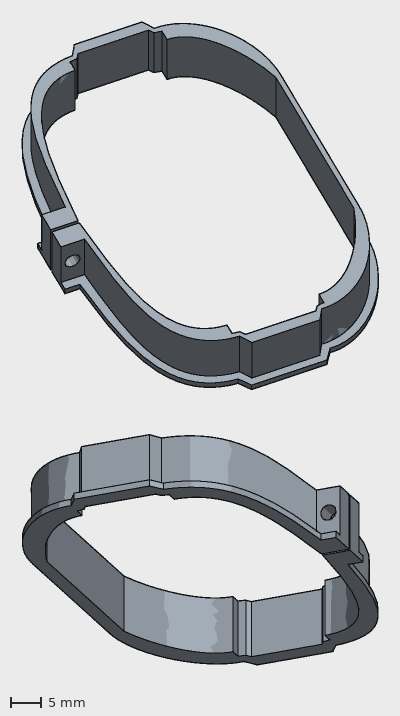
import cadquery as cq


total_height = 10.0
flange_height = 1.1

back_half_length = 15.9
flange_back_y = 24.0
wall_back_y = 22.4
inner_back_y = 21.45

flange_bump = {"x": 37.6, "half_flat": 6.85, "mouth_x": 35.45, "half_mouth": 8.35}
wall_bump = {"x": 36.2, "half_flat": 6.2, "mouth_x": 34.1, "half_mouth": 7.45}
inner_bump = {"x": 34.1, "half_flat": 6.4, "mouth_x": 33.2, "half_mouth": 7.0}

step_half_length = 8.35
step_outer_x = 33.0
step_inner_x = 30.9

front_y = -26.5
gap = 0.5
wall_lug_half_width = 3.9
flange_lug_half_width = 5.6
flange_front_y = -23.8
wall_front_y = -22.2
inner_front_y = -21.5

hole_diameter = 2.7
hole_y = -24.4
hole_z = (flange_height + total_height) / 2

flange_back_handles = [(35.9, 16.1), (25.5, flange_back_y)]
wall_back_handles = [(34.4, 15.35), (25.2, wall_back_y)]
inner_back_handles = [(31.0, 14.2), (22.7, 19.4)]
flange_front_handles = [(34.7, -20.4), (21.5, -22.5)]
wall_front_handles = [(33.4, -20.3), (19.05, -21.1)]
inner_front_handles = [(30.7, -19.65), (14.3, -20.4)]


def curve_to(sketch, handles, end):
    """Continue an outline along a cubic Bezier curve."""
    return sketch.bezier(handles + [end], includeCurrent=True)


def mirrored_solid(half_outline, height):
    """Extrude a closed +X half outline and join it to its mirror image."""
    half = half_outline.close().extrude(height)
    return half.union(half.mirror("YZ"))


def outer_solid(height, back_y, back_handles, bump, front_handles, curve_end_y, lug_half_width):
    """Filled outer outline of the flange or of the wall."""
    outline = cq.Workplane("XY").moveTo(0, front_y).lineTo(lug_half_width, front_y)
    outline = outline.lineTo(lug_half_width, curve_end_y)
    outline = curve_to(outline, front_handles[::-1], (bump["mouth_x"], -bump["half_mouth"]))
    outline = outline.lineTo(bump["x"], -bump["half_flat"]).lineTo(bump["x"], bump["half_flat"])
    outline = outline.lineTo(bump["mouth_x"], bump["half_mouth"])
    outline = curve_to(outline, back_handles, (back_half_length, back_y))
    return mirrored_solid(outline.lineTo(0, back_y), height)


def opening_solid():
    """Opening through the full height, with a stepped recess behind each bump."""
    bump = inner_bump
    outline = cq.Workplane("XY").moveTo(0, inner_front_y)
    outline = curve_to(outline, inner_front_handles[::-1], (step_inner_x, -step_half_length))
    outline = outline.lineTo(step_outer_x, -step_half_length)
    outline = outline.lineTo(bump["mouth_x"], -bump["half_mouth"])
    outline = outline.lineTo(bump["x"], -bump["half_flat"]).lineTo(bump["x"], bump["half_flat"])
    outline = outline.lineTo(bump["mouth_x"], bump["half_mouth"])
    outline = outline.lineTo(step_outer_x, step_half_length).lineTo(step_inner_x, step_half_length)
    outline = curve_to(outline, inner_back_handles, (back_half_length, inner_back_y))
    return mirrored_solid(outline.lineTo(0, inner_back_y), total_height)


def clamp_gap():
    """Slit that separates the two lugs."""
    return cq.Workplane("XY").box(gap, -front_y, total_height, centered=(True, False, False)).translate(
        (0, front_y, 0)
    )


def screw_hole():
    """Cylinder along X through both lugs."""
    cylinder = cq.Workplane("YZ").center(hole_y, hole_z).circle(hole_diameter / 2)
    return cylinder.extrude(flange_lug_half_width, both=True)


flange = outer_solid(
    flange_height, flange_back_y, flange_back_handles, flange_bump,
    flange_front_handles, flange_front_y, flange_lug_half_width,
)
wall = outer_solid(
    total_height, wall_back_y, wall_back_handles, wall_bump,
    wall_front_handles, wall_front_y, wall_lug_half_width,
)

result = flange.union(wall).cut(opening_solid()).cut(clamp_gap()).cut(screw_hole())